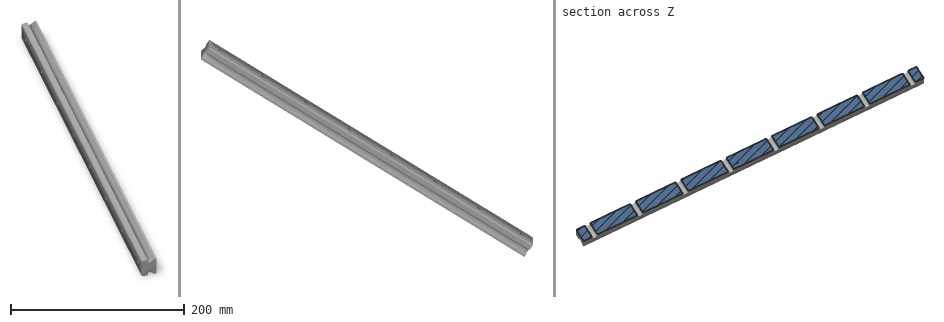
import cadquery as cq

length = 450.0
depth = 18.0
height = 23.0

chamfer = 1.5

rear_lip_width = 2.5
rear_step_end = 3.5
rear_step_sink = 1.5
groove_floor_start = 8.0
ramp_end_sink = 4.0
groove_floor_end = 9.5
groove_sink = 4.5
groove_mouth_end = 11.0

hole_count = 8
hole_diameter = 6.8
end_distance = length / 30
hole_pitch = (length - 2 * end_distance) / (hole_count - 1)

half_length = length / 2
half_depth = depth / 2
half_height = height / 2


def upper_outline():
    """Upper half of the rail section as (Y, Z) points, from rear to front."""
    steps = [
        (0, 0),
        (rear_lip_width, 0),
        (rear_step_end, rear_step_sink),
        (groove_floor_start, ramp_end_sink),
        (groove_floor_start, groove_sink),
        (groove_floor_end, groove_sink),
        (groove_mouth_end, 0),
        (depth - chamfer, 0),
        (depth, chamfer),
    ]
    return [(half_depth - inset, half_height - sink) for inset, sink in steps]


def rail_body():
    """Section mirrored about Z = 0 and extruded along X."""
    upper = upper_outline()
    lower = [(y, -z) for y, z in reversed(upper)]
    section = cq.Workplane("YZ", origin=(-half_length, 0, 0)).polyline(upper + lower).close()
    return section.extrude(length)


def mounting_holes():
    """Cylinders for the row of through holes."""
    places = [(-half_length + end_distance + i * hole_pitch, 0) for i in range(hole_count)]
    plane = cq.Workplane("XZ", origin=(0, half_depth, 0))
    return plane.pushPoints(places).circle(hole_diameter / 2).extrude(depth)


result = rail_body().cut(mounting_holes())